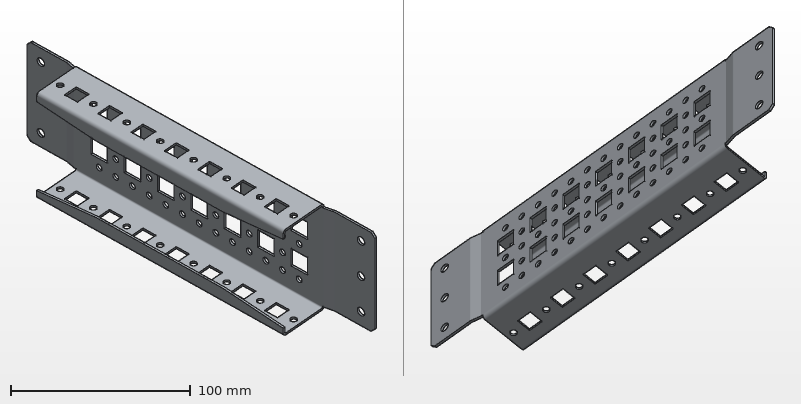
import cadquery as cq
import math

length = 261.0
depth = 35.5
height = 75.0

sheet = 1.5
inner_radius = 1.0
outer_radius = inner_radius + sheet

channel_length = 185.0
lip_end_height = 6.0
lip_mid_height = 10.5
lip_taper_length = 45.0

web_columns = 13
web_pattern_length = 150.0
pitch = web_pattern_length / (web_columns - 1)
small_hole_diameter = 4.2
web_square = 12.3
flange_square = 9.7
square_count = 7
perforation_from_front = 14.0

tab_height = height - 2 * outer_radius
tab_length = 30.0
tab_offset = sheet
joggle_length = 6.8
tab_chamfer = 3.0
tab_hole_diameter = 5.5
tab_hole_edge = 10.5
tab_hole_pitch = 2 * pitch

back_y = depth / 2
front_y = -depth / 2
web_y = back_y - tab_offset
channel_depth = web_y - front_y
channel_center_y = (web_y + front_y) / 2
perforation_y = front_y + perforation_from_front


def spaced(count, step):
    """Evenly spaced positions centred on zero."""
    return [(i - (count - 1) / 2) * step for i in range(count)]


def channel():
    """Bent C-section running along X, with its lips tapered towards both ends."""
    outside = (
        cq.Workplane("XY")
        .box(channel_length, channel_depth, height)
        .edges("|X")
        .fillet(outer_radius)
    )
    inside = (
        cq.Workplane("XY")
        .box(channel_length, channel_depth - 2 * sheet, height - 2 * sheet)
        .edges("|X")
        .fillet(inner_radius)
    )
    end_x = channel_length / 2
    taper_x = end_x - lip_taper_length
    end_z = height / 2 - lip_end_height
    mid_z = height / 2 - lip_mid_height
    lip_opening = (
        cq.Workplane("XZ", origin=(0, -channel_depth / 2 + sheet, 0))
        .polyline([
            (-end_x, -end_z), (-taper_x, -mid_z), (taper_x, -mid_z), (end_x, -end_z),
            (end_x, end_z), (taper_x, mid_z), (-taper_x, mid_z), (-end_x, end_z),
        ])
        .close()
        .extrude(sheet)
    )
    section = outside.cut(inside).cut(lip_opening)
    return section.translate((0, channel_center_y, 0))


def right_tab():
    """Flat tab with its bent joggle, on the +X end of the channel."""
    half_bend_angle = math.atan2(tab_offset, joggle_length) / 2
    back_shift = sheet * math.tan(half_bend_angle)
    tab_bend_x = length / 2 - tab_length
    web_bend_x = tab_bend_x - joggle_length
    web_end_x = channel_length / 2 - sheet
    outline = [
        (length / 2, back_y),
        (tab_bend_x - back_shift, back_y),
        (web_bend_x - back_shift, web_y),
        (web_end_x, web_y),
        (web_end_x, web_y - sheet),
        (web_bend_x, web_y - sheet),
        (tab_bend_x, back_y - sheet),
        (length / 2, back_y - sheet),
    ]
    outer_bends = [outline[1], outline[5]]
    inner_bends = [outline[2], outline[6]]
    tab = cq.Workplane("XY").polyline(outline).close().extrude(tab_height / 2, both=True)
    for bends, radius in ((outer_bends, outer_radius), (inner_bends, inner_radius)):
        for x, y in bends:
            tab = tab.edges(cq.NearestToPointSelector((x, y, 0))).fillet(radius)
    return tab.edges("|Y and >X").chamfer(tab_chamfer)


def through_web(points):
    """Workplane carrying points on the XZ plane behind the part."""
    return cq.Workplane("XZ", origin=(0, back_y, 0)).pushPoints(points)


def through_flanges(points):
    """Workplane carrying points on the XY plane below the part."""
    return cq.Workplane("XY", origin=(0, perforation_y, -height / 2)).pushPoints(points)


def web_cutters():
    """Three full rows of round holes, with mixed rows of squares and holes between."""
    square_x = spaced(square_count, 2 * pitch)
    between_x = spaced(square_count - 1, 2 * pitch)
    mixed_z = spaced(2, 2 * pitch)
    round_points = [(x, z) for x in spaced(web_columns, pitch) for z in spaced(3, 2 * pitch)]
    round_points += [(x, z) for x in between_x for z in mixed_z]
    square_points = [(x, z) for x in square_x for z in mixed_z]
    return [
        through_web(round_points).circle(small_hole_diameter / 2).extrude(tab_offset + 2 * sheet),
        through_web(square_points).rect(web_square, web_square).extrude(tab_offset + 2 * sheet),
    ]


def flange_cutters():
    """One row of alternating round holes and squares through both flanges."""
    round_points = [(x, 0) for x in spaced(square_count + 1, 2 * pitch)]
    square_points = [(x, 0) for x in spaced(square_count, 2 * pitch)]
    return [
        through_flanges(round_points).circle(small_hole_diameter / 2).extrude(height),
        through_flanges(square_points).rect(flange_square, flange_square).extrude(height),
    ]


def tab_cutter():
    """Column of fixing holes in each tab."""
    hole_x = length / 2 - tab_hole_edge
    points = [(x, z) for x in (-hole_x, hole_x) for z in spaced(3, tab_hole_pitch)]
    return through_web(points).circle(tab_hole_diameter / 2).extrude(sheet)


tab = right_tab()
result = channel().union(tab).union(tab.mirror("YZ"))
for cutter in web_cutters() + flange_cutters() + [tab_cutter()]:
    result = result.cut(cutter)